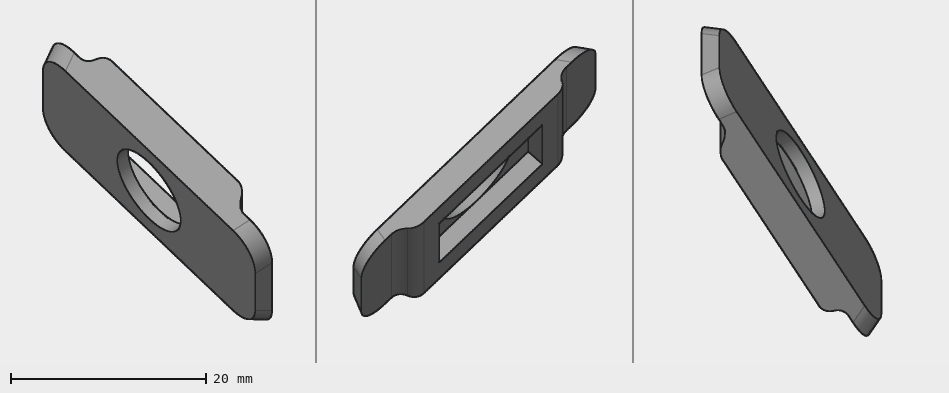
import cadquery as cq
import math

length = 34.7
back_height = 18.25
thickness = 3.5
plate_thickness = thickness / 2
long_side_angle = 30.0
end_angle = 20.0
corner_radius = 4.0
hole_diameter = 10.0

block_top_length = 19.85
curve_angle = 60.0

recess_length = 15.25
recess_height = hole_diameter
wall_behind_face = 1.5

long_side_slope = math.tan(math.radians(long_side_angle))
end_slope = math.tan(math.radians(end_angle))
front_height = back_height - 2 * thickness * long_side_slope
front_length = length - 2 * plate_thickness * end_slope

rise = thickness - plate_thickness
curve_sine = math.sin(math.radians(curve_angle))
curve_cosine = math.cos(math.radians(curve_angle))
curve_radius = rise / (2 * (1 - curve_cosine))


def sloped_prism(first_half_size, last_half_size, depth, plane, half_extent):
    """Symmetric trapezoid from Y = 0 to Y = depth, extruded both ways from the given plane."""
    corners = [
        (0, -first_half_size),
        (depth, -last_half_size),
        (depth, last_half_size),
        (0, first_half_size),
    ]
    return cq.Workplane(plane).polyline(corners).close().extrude(half_extent, both=True)


def make_long_sides():
    """Full-depth wedge bounded by the sloping top and bottom sides."""
    return sloped_prism(front_height / 2, back_height / 2, thickness, "YZ", length / 2)


def make_plate():
    """Front plate with sloping sides and rounded corners, widening towards the back."""
    end_plane = cq.Plane(origin=(0, 0, 0), xDir=(0, 1, 0), normal=(0, 0, -1))
    sloped_ends = sloped_prism(front_length / 2, length / 2, plate_thickness, end_plane, back_height / 2)
    plate = make_long_sides().intersect(sloped_ends)
    corner_edges = plate.edges("not (|X or |Z)")
    return corner_edges.fillet(corner_radius)


def make_back_block():
    """Block behind the plate with S-curved ends and sloping long sides."""
    top_x = block_top_length / 2
    middle_x = top_x + curve_radius * curve_sine
    foot_x = middle_x + curve_radius * curve_sine
    middle_y = plate_thickness + rise / 2

    half_sine = math.sin(math.radians(curve_angle / 2))
    half_drop = curve_radius * (1 - math.cos(math.radians(curve_angle / 2)))
    convex = (top_x + curve_radius * half_sine, thickness - half_drop)
    concave = (foot_x - curve_radius * half_sine, plate_thickness + half_drop)

    block = (
        cq.Workplane("XY")
        .moveTo(-foot_x, plate_thickness)
        .lineTo(foot_x, plate_thickness)
        .threePointArc(concave, (middle_x, middle_y))
        .threePointArc(convex, (top_x, thickness))
        .lineTo(-top_x, thickness)
        .threePointArc((-convex[0], convex[1]), (-middle_x, middle_y))
        .threePointArc((-concave[0], concave[1]), (-foot_x, plate_thickness))
        .close()
        .extrude(back_height / 2, both=True)
    )
    return block.intersect(make_long_sides())


def make_hole():
    return cq.Workplane("XZ").circle(hole_diameter / 2).extrude(-thickness)


def make_recess():
    depth = thickness - wall_behind_face
    recess = cq.Workplane("XY").box(recess_length, depth, recess_height)
    return recess.translate((0, wall_behind_face + depth / 2, 0))


result = make_plate().union(make_back_block()).cut(make_hole()).cut(make_recess())